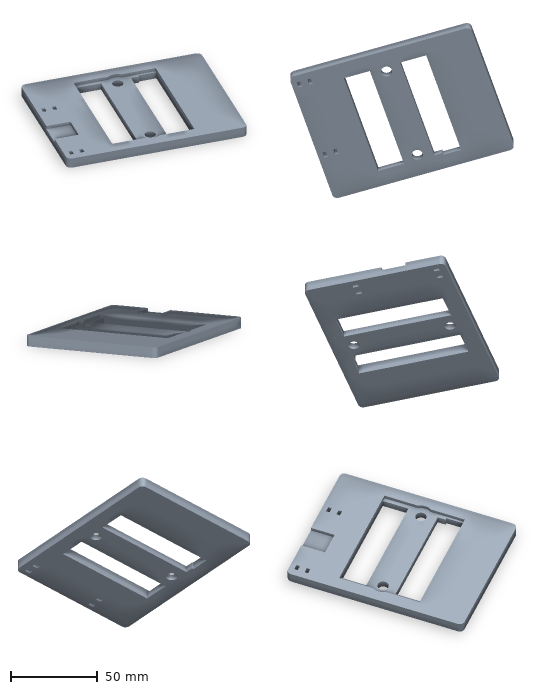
import cadquery as cq

width = 85.0
length = 110.0
thickness = 6.3
corner_radius = 3.0

recess_width = 69.7
recess_length = 50.2
recess_depth = 2.1
lobe_radius = 6.9
hole_diameter = 6.5
hole_spacing = 58.3

window_width = 64.8
window_length = 16.0
window_offset = (recess_length - window_length) / 2
notch_depth = 1.2
notch_length = 11.0

pocket_size = 14.7
pocket_depth = 2.1
pocket_x = 11.9
slot_width = 3.4
slot_length = 2.2
slot_spacing_x = 49.0
slot_spacing_y = 6.5
front_slot_inset = 4.3


def box_cut(size_x, size_y, depth, x, y):
    """Box reaching down from the top face, centred at x, y."""
    return (
        cq.Workplane("XY", origin=(x, y, thickness - depth))
        .rect(size_x, size_y)
        .extrude(depth)
    )


def hole_cut(radius, depth, x):
    """Cylinder reaching down from the top face on the X axis."""
    return cq.Workplane("XY", origin=(x, 0, thickness - depth)).circle(radius).extrude(depth)


plate = (
    cq.Workplane("XY")
    .rect(width, length)
    .extrude(thickness)
    .edges("|Z")
    .fillet(corner_radius)
)

plate = plate.cut(box_cut(recess_width, recess_length, recess_depth, 0, 0))
for side in (-1, 1):
    hole_x = side * hole_spacing / 2
    plate = plate.cut(hole_cut(lobe_radius, recess_depth, hole_x))
    plate = plate.cut(hole_cut(hole_diameter / 2, thickness, hole_x))

for side in (-1, 1):
    plate = plate.cut(box_cut(window_width, window_length, thickness, 0, side * window_offset))

notch_x = -(window_width + notch_depth) / 2
notch_y = (recess_length - notch_length) / 2
plate = plate.cut(box_cut(notch_depth, notch_length, thickness, notch_x, notch_y))

pocket_y = (pocket_size - length) / 2
plate = plate.cut(box_cut(pocket_size, pocket_size, pocket_depth, pocket_x, pocket_y))

for side in (-1, 1):
    slot_x = pocket_x + side * slot_spacing_x / 2
    for row in range(2):
        slot_y = -length / 2 + front_slot_inset + row * slot_spacing_y
        plate = plate.cut(box_cut(slot_width, slot_length, thickness, slot_x, slot_y))

result = plate